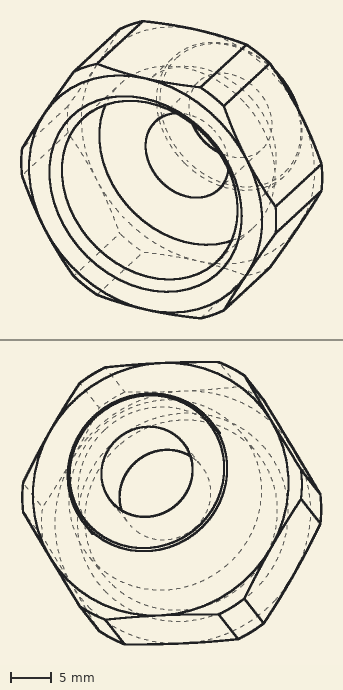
import cadquery as cq
import math

corner_diameter = 35.0
across_flats = 32.0
nut_length = 14.5
corner_bevel_angle = 30.0

total_length = 23.5
neck_diameter = 20.0
neck_fillet = 2.0
neck_edge_chamfer = 0.3

socket_diameter = 24.1
socket_depth = 11.5
socket_mouth_diameter = 26.4
socket_chamfer_depth = 1.15
through_hole_diameter = 11.4


def revolve_about_y(profile):
    """Revolve (radius, Y) points a full turn about the Y axis."""
    return cq.Workplane("XY").polyline(profile).close().revolve(360, (0, 0, 0), (0, 1, 0))


def make_nut():
    """Hexagon with rounded corners and conical bevels at both ends."""
    hexagon = (
        cq.Workplane("XZ")
        .polygon(6, across_flats / math.cos(math.radians(30)))
        .extrude(-nut_length)
    )
    corner_radius = corner_diameter / 2
    face_radius = across_flats / 2
    bevel_length = (corner_radius - face_radius) * math.tan(math.radians(corner_bevel_angle))
    envelope = revolve_about_y([
        (0, 0),
        (face_radius, 0),
        (corner_radius, bevel_length),
        (corner_radius, nut_length - bevel_length),
        (face_radius, nut_length),
        (0, nut_length),
    ])
    return hexagon.intersect(envelope)


def make_neck():
    """Round neck with a concave fillet at the nut and a chamfered free end."""
    radius = neck_diameter / 2
    root_start = nut_length / 2
    fillet_radius = radius + neck_fillet
    fillet_end = nut_length + neck_fillet
    arc_offset = neck_fillet * (1 - math.sqrt(0.5))
    return (
        cq.Workplane("XY")
        .moveTo(0, root_start)
        .lineTo(fillet_radius, root_start)
        .lineTo(fillet_radius, nut_length)
        .threePointArc((radius + arc_offset, nut_length + arc_offset), (radius, fillet_end))
        .lineTo(radius, total_length - neck_edge_chamfer)
        .lineTo(radius - neck_edge_chamfer, total_length)
        .lineTo(0, total_length)
        .close()
        .revolve(360, (0, 0, 0), (0, 1, 0))
    )


def make_bore():
    """Socket with a chamfered mouth, continued by a through hole."""
    socket_radius = socket_diameter / 2
    hole_radius = through_hole_diameter / 2
    return revolve_about_y([
        (0, 0),
        (socket_mouth_diameter / 2, 0),
        (socket_radius, socket_chamfer_depth),
        (socket_radius, socket_depth),
        (hole_radius, socket_depth),
        (hole_radius, total_length),
        (0, total_length),
    ])


result = make_nut().union(make_neck()).cut(make_bore())